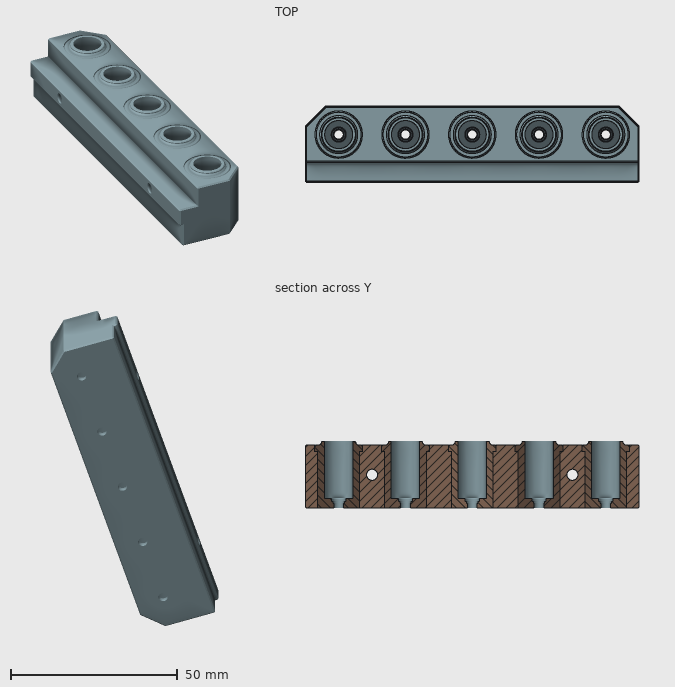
import cadquery as cq

LENGTH = 100.0
DEPTH = 22.8
BLOCK_HEIGHT = 19.0
BACK_CORNER = 6.0
UPPER_DEPTH = 16.8
RIDGE_BOTTOM = 7.2
RIDGE_TOP = 12.8
RIDGE_OVERHANG = 1.0
EDGE_CHAMFER = 0.4

CROSS_HOLE_DIAMETER = 3.2
CROSS_HOLE_SPACING = 60.0
CROSS_HOLE_HEIGHT = (RIDGE_BOTTOM + RIDGE_TOP) / 2

BUSHING_COUNT = 5
BUSHING_SPACING = 20.0
BUSHING_FROM_BACK = 8.5
OVERALL_HEIGHT = 20.0
BODY_DIAMETER = 12.4
FLANGE_DIAMETER = 14.2
FLANGE_THICKNESS = 2.0
FLANGE_CHAMFER = 0.4
NECK_DIAMETER = 10.4
NECK_BASE_CONE = 0.5
NECK_TOP_CHAMFER = 0.2
BORE_DIAMETER = 8.4
FLOOR_THICKNESS = 3.0
COUNTERBORE_DIAMETER = 4.1
COUNTERBORE_DEPTH = 1.0
COUNTERBORE_CHAMFER = 0.2
PILOT_DIAMETER = 3.2
PILOT_DEPTH = 1.5
DRAIN_DIAMETER = 2.8

UPPER_FRONT_Y = DEPTH - UPPER_DEPTH
BUSHING_Y = DEPTH - BUSHING_FROM_BACK
FLANGE_BOTTOM = BLOCK_HEIGHT - FLANGE_THICKNESS


def centred_positions(count, spacing):
    """X positions of a row that is centred along the block."""
    first_x = (LENGTH - (count - 1) * spacing) / 2
    return [first_x + i * spacing for i in range(count)]


BUSHING_X = centred_positions(BUSHING_COUNT, BUSHING_SPACING)
CROSS_HOLE_X = centred_positions(2, CROSS_HOLE_SPACING)


def cylinder(diameter, z_low, z_high):
    """Vertical cylinder on the Z axis."""
    return cq.Workplane("XY", origin=(0, 0, z_low)).circle(diameter / 2).extrude(z_high - z_low)


def stepped_bar():
    """Stepped bar with the rear corners cut and its outer edges chamfered."""
    profile = [
        (RIDGE_OVERHANG, 0),
        (DEPTH, 0),
        (DEPTH, BLOCK_HEIGHT),
        (UPPER_FRONT_Y, BLOCK_HEIGHT),
        (UPPER_FRONT_Y, RIDGE_TOP),
        (0, RIDGE_TOP),
        (0, RIDGE_BOTTOM),
        (RIDGE_OVERHANG, RIDGE_BOTTOM),
    ]
    bar = cq.Workplane("YZ").polyline(profile).close().extrude(LENGTH)
    bar = bar.edges("|Z and >Y").chamfer(BACK_CORNER)

    top_edges = bar.faces(">Z").edges().vals()
    bottom_edges = bar.faces("<Z").edges().vals()
    ridge_edges = bar.faces("<Y").edges().vals()
    end_edges = bar.faces("<X or >X").edges("not(|Z and >Y)").vals()
    outer_edges = top_edges + bottom_edges + ridge_edges + end_edges
    return bar.newObject(outer_edges).chamfer(EDGE_CHAMFER)


def cross_hole(x):
    plane = cq.Workplane("XZ", origin=(x, 0, CROSS_HOLE_HEIGHT))
    return plane.circle(CROSS_HOLE_DIAMETER / 2).extrude(-DEPTH)


def bushing_seat():
    """Stepped hole that one bushing fills."""
    through = cylinder(BODY_DIAMETER, 0, BLOCK_HEIGHT)
    return through.union(cylinder(FLANGE_DIAMETER, FLANGE_BOTTOM, BLOCK_HEIGHT))


def make_block():
    block = stepped_bar()
    for x in CROSS_HOLE_X:
        block = block.cut(cross_hole(x))
    seat = bushing_seat()
    for x in BUSHING_X:
        block = block.cut(seat.translate((x, BUSHING_Y, 0)))
    return block


def bushing_outside():
    """Body, chamfered flange flush with the block top, and a neck standing above it."""
    body = cylinder(BODY_DIAMETER, 0, FLANGE_BOTTOM)
    flange = cylinder(FLANGE_DIAMETER, FLANGE_BOTTOM, BLOCK_HEIGHT)
    flange = flange.faces(">Z").chamfer(FLANGE_CHAMFER)
    neck = cylinder(NECK_DIAMETER, FLANGE_BOTTOM, OVERALL_HEIGHT)
    neck = neck.faces(">Z").chamfer(NECK_TOP_CHAMFER)
    head = flange.union(neck)

    on_flange_top = (FLANGE_DIAMETER / 2 - FLANGE_CHAMFER, 0, BLOCK_HEIGHT)
    flange_top = head.faces(cq.selectors.NearestToPointSelector(on_flange_top))
    neck_base = cq.selectors.RadiusNthSelector(0)
    head = flange_top.edges(neck_base).chamfer(NECK_BASE_CONE)
    return head.union(body)


def bushing_inside():
    """Bore, chamfered counterbore in its floor, pilot hole and drain hole."""
    counterbore = cylinder(COUNTERBORE_DIAMETER, FLOOR_THICKNESS - COUNTERBORE_DEPTH, FLOOR_THICKNESS)
    countersink = (
        cq.Workplane("XY", origin=(0, 0, FLOOR_THICKNESS))
        .circle(COUNTERBORE_DIAMETER / 2 + COUNTERBORE_CHAMFER)
        .workplane(offset=-COUNTERBORE_CHAMFER)
        .circle(COUNTERBORE_DIAMETER / 2)
        .loft()
    )
    pilot = cylinder(PILOT_DIAMETER, FLOOR_THICKNESS - PILOT_DEPTH, FLOOR_THICKNESS)
    drain = cylinder(DRAIN_DIAMETER, 0, FLOOR_THICKNESS)
    bore = cylinder(BORE_DIAMETER, FLOOR_THICKNESS, OVERALL_HEIGHT)
    return bore.union(counterbore).union(countersink).union(pilot).union(drain)


def make_bushing():
    return bushing_outside().cut(bushing_inside())


block = make_block()
bushing = make_bushing()
bushings = [bushing.translate((x, BUSHING_Y, 0)).val() for x in BUSHING_X]

result = cq.Compound.makeCompound([block.val(), *bushings])